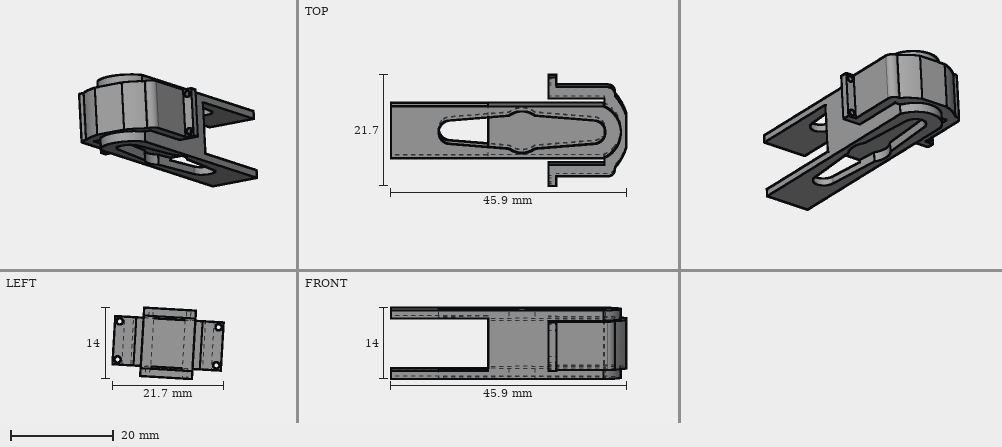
import cadquery as cq
import math

LENGTH = 45.85
ROLL_ANGLE = 3.4

BODY_WIDTH = 10.15
BODY_HEIGHT = 13.4
NOSE_START = 41.4
NOSE_TIP = 44.8
TINE_THICKNESS = 1.55
FORK_DEPTH = 18.95

WINDOW_RECESS = 0.45
WINDOW_DEPTH = TINE_THICKNESS + WINDOW_RECESS
WINDOW_CENTRE = 25.55
WINDOW_END_RADIUS = 2.3
WINDOW_END_OFFSET = 13.95
WINDOW_MID_HALF_WIDTH = 3.45
WINDOW_BULGE_RADIUS = 4.1

BRACKET_WIDTH = 21.2
BRACKET_HEIGHT = 9.45
ARM_OUTER_WIDTH = 17.43
ARM_INNER_WIDTH = 12.95
FLANGE_START = 30.7
FLANGE_THICKNESS = 1.55
BRIDGE_START = 41.6
ARM_END = 43.65
ARM_CORNER_RADIUS = 1.45
CROWN_CENTRE = 35.75
CROWN_RADIUS = 10.55

HOLE_DIAMETER = 1.2
HOLE_SPACING_Y = 19.25
HOLE_SPACING_Z = 7.45


def block(start, end, width, height):
    """Box from start to end along X, centred in Y and Z."""
    box = cq.Workplane("XY").box(end - start, width, height)
    return box.translate(((start + end) / 2, 0, 0))


def make_window():
    """Cutter with two tapers that end in tangent arcs, plus a round bulge."""
    tangent_angle = math.atan2(WINDOW_END_OFFSET, WINDOW_MID_HALF_WIDTH) + math.asin(
        WINDOW_END_RADIUS / math.hypot(WINDOW_END_OFFSET, WINDOW_MID_HALF_WIDTH)
    )
    tangent_x = WINDOW_END_OFFSET + WINDOW_END_RADIUS * math.cos(tangent_angle)
    tangent_y = WINDOW_END_RADIUS * math.sin(tangent_angle)
    end_x = WINDOW_END_OFFSET + WINDOW_END_RADIUS
    tapers = (
        cq.Workplane("XY")
        .moveTo(0, WINDOW_MID_HALF_WIDTH)
        .lineTo(tangent_x, tangent_y)
        .threePointArc((end_x, 0), (tangent_x, -tangent_y))
        .lineTo(0, -WINDOW_MID_HALF_WIDTH)
        .lineTo(-tangent_x, -tangent_y)
        .threePointArc((-end_x, 0), (-tangent_x, tangent_y))
        .close()
        .extrude(WINDOW_DEPTH)
    )
    bulge = cq.Workplane("XY").circle(WINDOW_BULGE_RADIUS).extrude(WINDOW_DEPTH)
    return tapers.union(bulge).translate((WINDOW_CENTRE, 0, 0))


def make_body():
    half_width = BODY_WIDTH / 2
    body = (
        cq.Workplane("XY")
        .moveTo(0, -half_width)
        .lineTo(NOSE_START, -half_width)
        .threePointArc((NOSE_TIP, 0), (NOSE_START, half_width))
        .lineTo(0, half_width)
        .close()
        .extrude(BODY_HEIGHT / 2, both=True)
    )
    fork_gap = block(0, FORK_DEPTH, BODY_WIDTH, BODY_HEIGHT - 2 * TINE_THICKNESS)
    body = body.cut(fork_gap)
    window = make_window()
    for window_bottom in (-BODY_HEIGHT / 2, BODY_HEIGHT / 2 - WINDOW_DEPTH):
        body = body.cut(window.translate((0, 0, window_bottom)))
    return body


def make_bracket():
    arms = block(FLANGE_START, ARM_END, ARM_OUTER_WIDTH, BRACKET_HEIGHT)
    arms = arms.edges("|Z and >X").fillet(ARM_CORNER_RADIUS)
    flange_end = FLANGE_START + FLANGE_THICKNESS
    flanges = block(FLANGE_START, flange_end, BRACKET_WIDTH, BRACKET_HEIGHT)

    crown_width = ARM_OUTER_WIDTH - 2 * ARM_CORNER_RADIUS
    crown = (
        cq.Workplane("XY")
        .center(CROWN_CENTRE, 0)
        .circle(CROWN_RADIUS)
        .extrude(BRACKET_HEIGHT / 2, both=True)
        .intersect(block(BRIDGE_START, LENGTH, crown_width, BRACKET_HEIGHT))
    )
    opening = block(FLANGE_START, BRIDGE_START, ARM_INNER_WIDTH, BRACKET_HEIGHT)
    holes = (
        cq.Workplane("YZ", origin=(FLANGE_START, 0, 0))
        .rarray(HOLE_SPACING_Y, HOLE_SPACING_Z, 2, 2)
        .circle(HOLE_DIAMETER / 2)
        .extrude(FLANGE_THICKNESS)
    )
    return arms.union(flanges).union(crown).cut(opening).cut(holes)


result = make_body().union(make_bracket()).rotate((0, 0, 0), (1, 0, 0), ROLL_ANGLE)